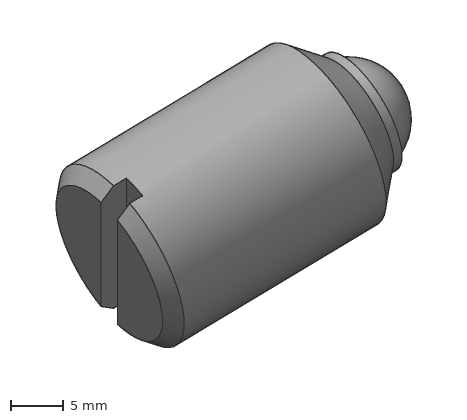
import cadquery as cq

total_length = 34.5
body_diameter = 20.0
collar_diameter = 13.0
ball_diameter = 11.97
collar_end = 30.0
collar_length = 1.0
end_chamfer = 1.5
slot_width = 2.6
slot_depth = 3.0

body_radius = body_diameter / 2
collar_radius = collar_diameter / 2
ball_radius = ball_diameter / 2
collar_start = collar_end - collar_length
shoulder = collar_start - (body_radius - collar_radius)
ball_center = total_length - ball_radius


def make_body():
    """Turned body: chamfered end, cylinder, nose cone and collar."""
    return (
        cq.Workplane("XY")
        .moveTo(0, 0)
        .lineTo(body_radius - end_chamfer, 0)
        .lineTo(body_radius, end_chamfer)
        .lineTo(body_radius, shoulder)
        .lineTo(collar_radius, collar_start)
        .lineTo(collar_radius, collar_end)
        .lineTo(0, collar_end)
        .close()
        .revolve(360, (0, 0, 0), (0, 1, 0))
    )


def make_ball():
    """Ball seated in the collar, its tip at the far end."""
    return cq.Workplane("XY").sphere(ball_radius).translate((0, ball_center, 0))


def make_slot():
    """Screwdriver slot across the full height of the flat end."""
    return cq.Workplane("XY").box(
        slot_width, slot_depth, body_diameter, centered=(True, False, True)
    )


result = make_body().union(make_ball()).cut(make_slot())